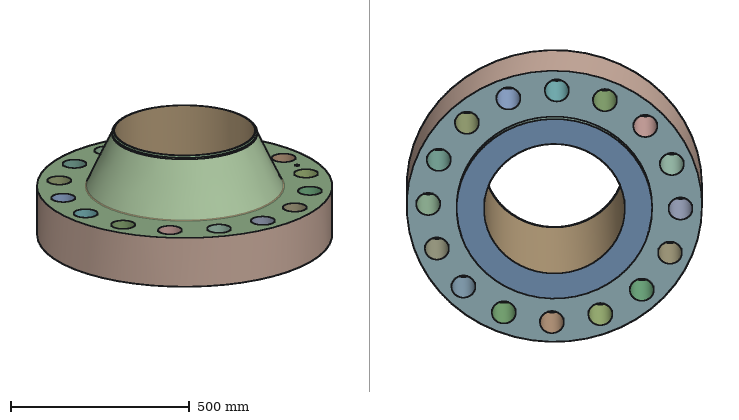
import cadquery as cq
import math

flange_diameter = 825.0
flange_thickness = 146.0
overall_height = 328.5

raised_face_diameter = 546.0
raised_face_height = 17.0

bore_diameter = 394.0
hub_base_diameter = 552.0
hub_base_fillet = 3.0
hub_top_diameter = 406.0
hub_top_land = 5.0
weld_bevel_height = 5.0
weld_face_diameter = 398.0

bolt_count = 16
bolt_circle_diameter = 705.0
bolt_hole_diameter = 67.0

small_hole_diameter = 12.0
small_hole_depth = 41.0

bolt_pitch_angle = 360 / bolt_count
flange_top = raised_face_height + flange_thickness


def on_bolt_circle(angle):
    """Point on the bolt circle at an angle in degrees from +X."""
    radius = bolt_circle_diameter / 2
    return (radius * math.cos(math.radians(angle)), radius * math.sin(math.radians(angle)))


def flange_body():
    """Revolve the radius-height section of the flange, hub and bore about Z."""
    bevel_start = overall_height - weld_bevel_height
    section = [
        (bore_diameter / 2, 0),
        (raised_face_diameter / 2, 0),
        (raised_face_diameter / 2, raised_face_height),
        (flange_diameter / 2, raised_face_height),
        (flange_diameter / 2, flange_top),
        (hub_base_diameter / 2, flange_top),
        (hub_top_diameter / 2, bevel_start - hub_top_land),
        (hub_top_diameter / 2, bevel_start),
        (weld_face_diameter / 2, overall_height),
        (bore_diameter / 2, overall_height),
    ]
    body = cq.Workplane("XZ").polyline(section).close().revolve(360, (0, 0, 0), (0, 1, 0))
    hub_foot = body.faces("+Z").faces("<Z").edges(cq.selectors.RadiusNthSelector(0))
    return hub_foot.fillet(hub_base_fillet)


def bolt_holes():
    """Ring of cutters that pass through the flange plate."""
    centres = [on_bolt_circle(i * bolt_pitch_angle) for i in range(bolt_count)]
    return cq.Workplane("XY").pushPoints(centres).circle(bolt_hole_diameter / 2).extrude(flange_top)


def small_hole():
    """Cutter for the blind hole, half a bolt pitch past the +Y bolt hole."""
    centre = on_bolt_circle(90 + bolt_pitch_angle / 2)
    top_plane = cq.Workplane("XY").workplane(offset=flange_top)
    return top_plane.center(*centre).circle(small_hole_diameter / 2).extrude(-small_hole_depth)


result = flange_body().cut(bolt_holes()).cut(small_hole())